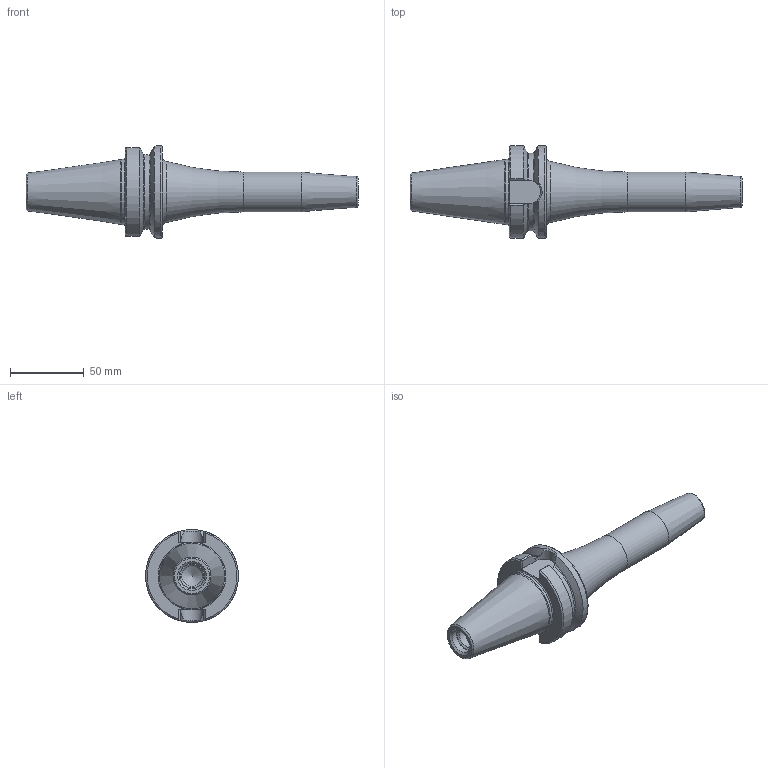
import cadquery as cq
import math


gauge_radius = 44.45 / 2
shank_length = 65.4
taper_half_slope = 7 / 48
shank_small_radius = gauge_radius - shank_length * taper_half_slope
shank_chamfer = 0.9

taper_end = -1.4
collar_start = -0.7
collar_radius = gauge_radius

flange_front = 2.0
flange_back = 27.0
flange_radius = 31.5
flange_fillet = 1.0

groove_center = 16.6
groove_radius = 26.5
groove_half_width = 5.0
groove_half_angle = 30.0
groove_fillet = 1.0

slot_width = 16.1
slot_floor = 23.0
slot_end = 23.3
slot_chamfer = 1.0

flange_root_fillet = slot_floor - collar_radius

neck_root_radius = 22.5
neck_start = 30.0
neck_start_radius = 20.8
neck_end = 82.0
nose_radius = 13.5
nose_taper_start = 121.9
nose_tip_radius = 10.5
nose_end = 160.0
tip_fillet = 1.0

mouth_radius = 9.8
pilot_radius = 8.5
pilot_depth = 5.4
thread_mouth_radius = 8.0
thread_radius = 6.9
thread_depth = 30.0
drill_point_angle = 118.0

clearance = 1.0
match_tolerance = 0.01


def revolve_about_x(profile):
    """Turn a closed half profile into a solid of revolution about X."""
    return profile.revolve(360, (0, 0, 0), (1, 0, 0))


def make_shank():
    """Taper shank with its end chamfer, collar and fillet into the flange."""
    chamfer_end_radius = shank_small_radius + shank_chamfer * taper_half_slope
    taper_end_radius = gauge_radius + taper_end * taper_half_slope
    fillet_start = flange_front - flange_root_fillet
    bend = flange_root_fillet * (1 - math.sqrt(0.5))
    profile = (
        cq.Workplane("XY")
        .moveTo(-shank_length, 0)
        .lineTo(-shank_length, chamfer_end_radius - shank_chamfer)
        .lineTo(-shank_length + shank_chamfer, chamfer_end_radius)
        .lineTo(taper_end, taper_end_radius)
        .lineTo(collar_start, collar_radius)
        .lineTo(fillet_start, collar_radius)
        .threePointArc(
            (flange_front - bend, collar_radius + bend),
            (flange_front, collar_radius + flange_root_fillet),
        )
        .lineTo(flange_front, 0)
        .close()
    )
    return revolve_about_x(profile)


def make_slot():
    """Round-ended drive slot cutter at the top of the flange."""
    half_width = slot_width / 2
    start = flange_front - clearance
    arc_center = slot_end - half_width
    return (
        cq.Workplane("XY", origin=(0, 0, slot_floor))
        .moveTo(start, -half_width)
        .lineTo(arc_center, -half_width)
        .threePointArc((slot_end, 0), (arc_center, half_width))
        .lineTo(start, half_width)
        .close()
        .extrude(flange_radius - slot_floor + clearance)
    )


def make_groove():
    """V groove cutter: a ring with a flat floor and sloping walls."""
    outer_radius = flange_radius + clearance
    wall_slope = math.tan(math.radians(groove_half_angle))
    floor_half_width = groove_half_width - (flange_radius - groove_radius) * wall_slope
    outer_half_width = groove_half_width + clearance * wall_slope
    profile = (
        cq.Workplane("XY")
        .moveTo(groove_center - outer_half_width, outer_radius)
        .lineTo(groove_center - floor_half_width, groove_radius)
        .lineTo(groove_center + floor_half_width, groove_radius)
        .lineTo(groove_center + outer_half_width, outer_radius)
        .close()
    )
    floor_corners = []
    ring = revolve_about_x(profile)
    for edge in ring.edges("%CIRCLE").vals():
        if abs(edge.radius() - groove_radius) < match_tolerance:
            floor_corners.append(edge)
    return ring.newObject(floor_corners).fillet(groove_fillet)


def chamfer_slots(flange):
    """Bevel the rim of both slots and the upright corners at the flange front."""
    half_width = slot_width / 2
    rim_start_height = math.sqrt(flange_radius**2 - half_width**2)
    reach = half_width + match_tolerance
    edges = []
    for edge in flange.edges().vals():
        center = edge.Center()
        height = abs(center.z)
        on_slot = abs(center.y) < reach and height > slot_floor + match_tolerance
        on_rim = height > rim_start_height - match_tolerance and center.x < slot_end
        on_front = abs(center.x - flange_front) < match_tolerance
        if on_slot and (on_rim or on_front):
            edges.append(edge)
    return flange.newObject(edges).chamfer(slot_chamfer)


def make_flange():
    """Slotted flange disc with rounded rims and the V groove."""
    disc = cq.Workplane("YZ", origin=(flange_front, 0, 0)).circle(flange_radius)
    flange = disc.extrude(flange_back - flange_front)
    slot = make_slot()
    flange = flange.cut(slot).cut(slot.rotate((0, 0, 0), (1, 0, 0), 180))
    flange = chamfer_slots(flange)
    rims = []
    for edge in flange.edges("%CIRCLE").vals():
        at_end = edge.BoundingBox().xlen < match_tolerance
        if at_end and abs(edge.radius() - flange_radius) < match_tolerance:
            rims.append(edge)
    flange = flange.newObject(rims).fillet(flange_fillet)
    return flange.cut(make_groove())


def make_neck():
    """Curved root, sweeping neck, straight nose and tapered, rounded tip."""
    tip_bend = tip_fillet * (1 - math.sqrt(0.5))
    drop = neck_start_radius - nose_radius
    sweep_length = neck_end - neck_start
    sweep_radius = (sweep_length**2 + drop**2) / (2 * drop)
    middle_x = neck_end - sweep_length / 2
    middle_radius = nose_radius + sweep_radius - math.sqrt(sweep_radius**2 - (sweep_length / 2) ** 2)
    profile = (
        cq.Workplane("XY")
        .moveTo(nose_end, 0)
        .lineTo(nose_end, nose_tip_radius - tip_fillet)
        .threePointArc(
            (nose_end - tip_bend, nose_tip_radius - tip_bend),
            (nose_end - tip_fillet, nose_tip_radius),
        )
        .lineTo(nose_taper_start, nose_radius)
        .lineTo(neck_end, nose_radius)
        .threePointArc((middle_x, middle_radius), (neck_start, neck_start_radius))
        .tangentArcPoint((flange_back, neck_root_radius), relative=False)
        .lineTo(flange_back, 0)
        .close()
    )
    return revolve_about_x(profile)


def make_bore():
    """Stepped pull-stud bore with a conical drill point."""
    mouth = -shank_length
    mouth_chamfer = mouth_radius - pilot_radius
    thread_chamfer = thread_mouth_radius - thread_radius
    point_length = thread_radius / math.tan(math.radians(drill_point_angle / 2))
    profile = (
        cq.Workplane("XY")
        .moveTo(mouth, 0)
        .lineTo(mouth, mouth_radius)
        .lineTo(mouth + mouth_chamfer, pilot_radius)
        .lineTo(mouth + pilot_depth, pilot_radius)
        .lineTo(mouth + pilot_depth, thread_mouth_radius)
        .lineTo(mouth + pilot_depth + thread_chamfer, thread_radius)
        .lineTo(mouth + thread_depth, thread_radius)
        .lineTo(mouth + thread_depth + point_length, 0)
        .close()
    )
    return revolve_about_x(profile)


result = make_shank().union(make_flange()).union(make_neck()).cut(make_bore())